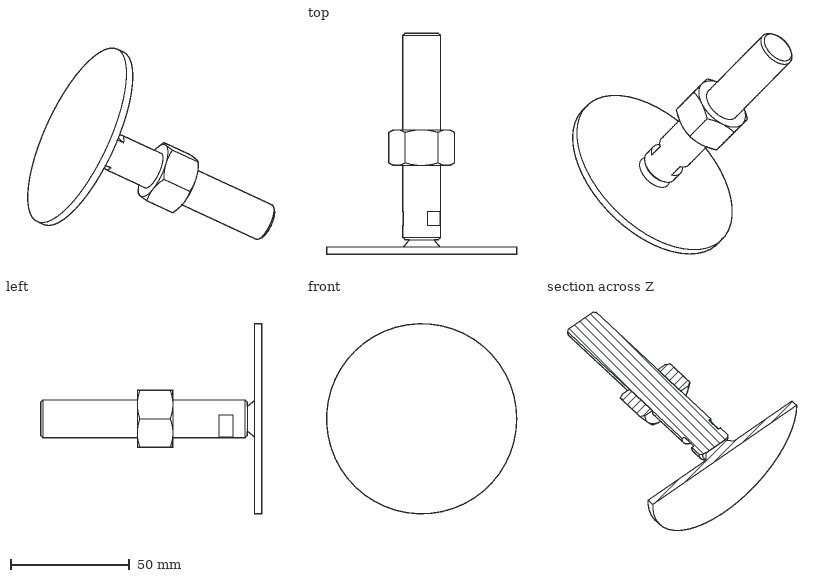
import cadquery as cq
import math

total_length = 93.0

pad_diameter = 80.0
pad_thickness = 3.2
neck_height = 3.0
neck_base_radius = 7.7
neck_top_radius = 5.2

stud_diameter = 16.0
stud_chamfer = 1.0
stud_start = pad_thickness + neck_height
stud_length = total_length - stud_start

flats_across = 11.9
flats_start = 12.1
flats_length = 6.0
flats_tilt = 30.0

nut_across_flats = 24.0
nut_across_corners = nut_across_flats / math.cos(math.radians(30))
nut_start = 37.4
nut_height = 15.0
nut_chamfer_angle = 30.0


def plane_at(y):
    """Plane across the axis at height y, facing +Y, with local x along X."""
    return cq.Plane(origin=(0, y, 0), xDir=(1, 0, 0), normal=(0, 1, 0))


def revolve_about_y(half_profile):
    """Solid of revolution from (radius, y) points, about the Y axis."""
    return cq.Workplane("XY").polyline(half_profile).close().revolve(360, (0, 0, 0), (0, 1, 0))


def make_pad():
    pad_radius = pad_diameter / 2
    return revolve_about_y([
        (0, 0),
        (pad_radius, 0),
        (pad_radius, pad_thickness),
        (neck_base_radius, pad_thickness),
        (neck_top_radius, stud_start),
        (0, stud_start),
    ])


def make_stud():
    rod = cq.Workplane(plane_at(stud_start)).circle(stud_diameter / 2).extrude(stud_length)
    rod = rod.faces("<Y or >Y").chamfer(stud_chamfer)

    disc = cq.Workplane(plane_at(flats_start)).circle(stud_diameter).extrude(flats_length)
    slab = (
        cq.Workplane(plane_at(flats_start))
        .rect(flats_across, 3 * stud_diameter)
        .extrude(flats_length)
        .rotate((0, 0, 0), (0, 1, 0), -flats_tilt)
    )
    return rod.cut(disc.cut(slab))


def make_nut():
    prism = cq.Workplane(plane_at(nut_start)).polygon(6, nut_across_corners).extrude(nut_height)

    face_radius = nut_across_flats / 2
    corner_radius = nut_across_corners / 2
    bevel = (corner_radius - face_radius) * math.tan(math.radians(nut_chamfer_angle))
    nut_end = nut_start + nut_height
    envelope = revolve_about_y([
        (0, nut_start),
        (face_radius, nut_start),
        (corner_radius, nut_start + bevel),
        (corner_radius, nut_end - bevel),
        (face_radius, nut_end),
        (0, nut_end),
    ])
    bore = cq.Workplane(plane_at(nut_start)).circle(stud_diameter / 2).extrude(nut_height)
    return prism.intersect(envelope).cut(bore)


pad = make_pad()
stud = make_stud()
nut = make_nut()

result = cq.Compound.makeCompound([pad.val(), stud.solids().val(), nut.solids().val()])